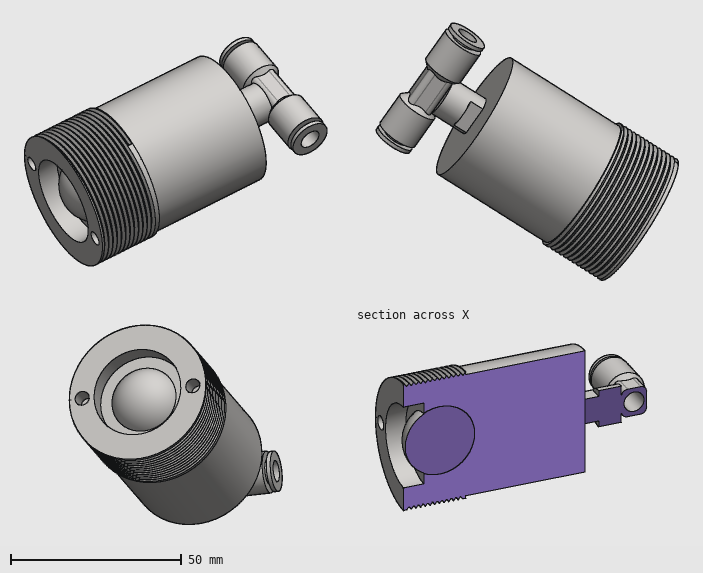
import cadquery as cq

OVERALL_LENGTH = 79.85

THREAD_DIAMETER = 42.0
THREAD_LENGTH = 20.0
GROOVE_TRAVEL = 18.45
GROOVE_TURNS = 12.3
THREAD_PITCH = GROOVE_TRAVEL / GROOVE_TURNS
GROOVE_DEPTH = 0.9
GROOVE_WIDTH = 1.35
GROOVE_OVERRUN = 0.1
GROOVE_START = 0.6
BODY_DIAMETER = 40.4
HOUSING_LENGTH = 58.0
RECESS_RADIUS = 13.3
RECESS_DEPTH = 6.5
SPANNER_HOLE_RADIUS = 2.15
SPANNER_HOLE_OFFSET = 17.0
SPANNER_HOLE_DEPTH = 6.0
CUT_OVERRUN = 0.8

BALL_RADIUS = 11.1
BALL_CENTER_Y = 11.6

BARREL_RADIUS = 6.2
BARREL_INNER_X = 6.8
BARREL_OUTER_X = 17.3
SHOULDER_TIP_RADIUS = 3.7
RELEASE_NECK_RADIUS = 3.7
RELEASE_RING_RADIUS = 6.0
RELEASE_RING_INNER_X = 18.5
RELEASE_RING_OUTER_X = 19.7
TUBE_BORE_RADIUS = 3.1
BAR_HALF_LENGTH = 6.1
BAR_HALF_WIDTH = 4.1
BAR_HALF_HEIGHT = 4.6
BAR_EDGE_RADIUS = 2.0
STEM_RADIUS = 6.1
FLATS_HALF_WIDTH = 4.15
FLATS_LENGTH = 4.3
TEE_AXIS_Y = OVERALL_LENGTH - BARREL_RADIUS


def cylinder_along_y(radius, start_y, end_y, x=0.0):
    return cq.Workplane(
        cq.Solid.makeCylinder(radius, end_y - start_y, cq.Vector(x, start_y, 0), cq.Vector(0, 1, 0))
    )


def make_thread_groove():
    """Right-handed V groove that begins on the -X side and winds along +Y."""
    crest_radius = THREAD_DIAMETER / 2
    root_radius = crest_radius - GROOVE_DEPTH
    outer_radius = crest_radius + GROOVE_OVERRUN
    half_width = GROOVE_WIDTH / 2 * (outer_radius - root_radius) / GROOVE_DEPTH
    path = cq.Wire.makeHelix(THREAD_PITCH, GROOVE_TRAVEL, root_radius)
    groove = (
        cq.Workplane("XZ")
        .polyline([(root_radius, 0), (outer_radius, half_width), (outer_radius, -half_width)])
        .close()
        .sweep(cq.Workplane(path), isFrenet=True)
    )
    return (
        groove.rotate((0, 0, 0), (0, 0, 1), 180)
        .rotate((0, 0, 0), (1, 0, 0), -90)
        .translate((0, GROOVE_START, 0))
    )


def make_ball():
    return cq.Workplane("XY").sphere(BALL_RADIUS).translate((0, BALL_CENTER_Y, 0))


def make_housing(ball):
    threaded_end = cylinder_along_y(THREAD_DIAMETER / 2, 0, THREAD_LENGTH).cut(make_thread_groove())
    body = cylinder_along_y(BODY_DIAMETER / 2, THREAD_LENGTH, HOUSING_LENGTH)
    housing = threaded_end.union(body)
    housing = housing.cut(cylinder_along_y(RECESS_RADIUS, -CUT_OVERRUN, RECESS_DEPTH))
    for side in (-1, 1):
        hole = cylinder_along_y(
            SPANNER_HOLE_RADIUS, -CUT_OVERRUN, SPANNER_HOLE_DEPTH, side * SPANNER_HOLE_OFFSET
        )
        housing = housing.cut(hole)
    return housing.cut(ball)


def make_tube_port():
    """+X arm of the tee: conical shoulder, barrel, release neck and release ring."""
    cone_inner_x = BARREL_INNER_X - (BARREL_RADIUS - SHOULDER_TIP_RADIUS)
    return (
        cq.Workplane("XY")
        .moveTo(cone_inner_x, 0)
        .lineTo(cone_inner_x, SHOULDER_TIP_RADIUS)
        .lineTo(BARREL_INNER_X, BARREL_RADIUS)
        .lineTo(BARREL_OUTER_X, BARREL_RADIUS)
        .lineTo(BARREL_OUTER_X, RELEASE_NECK_RADIUS)
        .lineTo(RELEASE_RING_INNER_X, RELEASE_NECK_RADIUS)
        .lineTo(RELEASE_RING_INNER_X, RELEASE_RING_RADIUS)
        .lineTo(RELEASE_RING_OUTER_X, RELEASE_RING_RADIUS)
        .lineTo(RELEASE_RING_OUTER_X, 0)
        .close()
        .revolve(360, (0, 0, 0), (1, 0, 0))
        .translate((0, TEE_AXIS_Y, 0))
    )


def make_stem():
    """Round stem with two spanner flats next to the housing."""
    stem_end_y = TEE_AXIS_Y - BAR_HALF_WIDTH
    stem = cylinder_along_y(STEM_RADIUS, HOUSING_LENGTH, stem_end_y)
    flat_cut_height = STEM_RADIUS
    for side in (-1, 1):
        flat_cut = cq.Workplane("XY").box(2 * STEM_RADIUS, FLATS_LENGTH, flat_cut_height).translate(
            (0, HOUSING_LENGTH + FLATS_LENGTH / 2, side * (FLATS_HALF_WIDTH + flat_cut_height / 2))
        )
        stem = stem.cut(flat_cut)
    return stem


def make_tee_fitting():
    fitting = (
        cq.Workplane("XY")
        .box(2 * BAR_HALF_LENGTH, 2 * BAR_HALF_WIDTH, 2 * BAR_HALF_HEIGHT)
        .edges("|X")
        .fillet(BAR_EDGE_RADIUS)
        .translate((0, TEE_AXIS_Y, 0))
    )
    port = make_tube_port()
    fitting = fitting.union(port).union(port.mirror("YZ")).union(make_stem())
    bore = cq.Solid.makeCylinder(
        TUBE_BORE_RADIUS,
        2 * RELEASE_RING_OUTER_X,
        cq.Vector(-RELEASE_RING_OUTER_X, TEE_AXIS_Y, 0),
        cq.Vector(1, 0, 0),
    )
    return fitting.cut(cq.Workplane(bore))


ball = make_ball()
housing = make_housing(ball)
tee_fitting = make_tee_fitting()

result = cq.Compound.makeCompound([*housing.solids().vals(), ball.val(), *tee_fitting.solids().vals()])